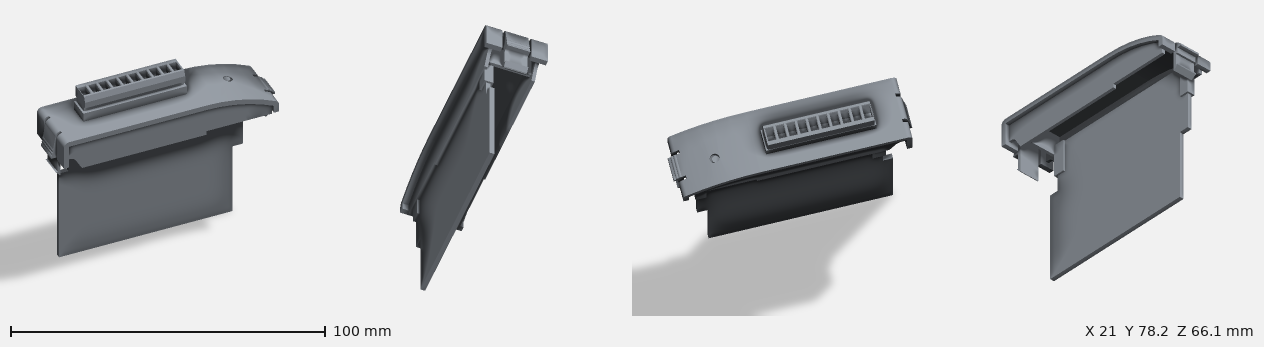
import cadquery as cq
import math


CAP_HALF_WIDTH = 21.0 / 2
CAP_THICKNESS = 1.8
CAP_BACK = 37.55
CAP_FRONT = -37.55
CAP_RIM_Z = -9.9
BEND_START_Y = 12.2
BEND_RADIUS = 55.55
CAP_FILLET = 1.8
INNER_BACK = CAP_BACK - CAP_THICKNESS
INNER_FRONT = CAP_FRONT + CAP_THICKNESS

LATCH_HALF_WIDTH = 3.9
SLOT_WIDTH = 1.1
FRONT_SLOT_DEPTH = CAP_THICKNESS
BACK_SLOT_DEPTH = 2.4
LEG_THICKNESS = 1.0
FRONT_LEG_FILLET = 0.7
FRONT_BARB_TOP_Z = -15.7
FRONT_BARB_TIP_Y = -37.5
FRONT_LEG_BOTTOM_Z = -17.4
FRONT_BARB_BEVEL_END = (-36.15, -17.2)
BACK_BARB_TOP_Z = -14.3
BACK_BARB_TIP_Y = 37.9
BACK_BARB_BEVEL_START = (37.7, -14.6)
BACK_LEG_BOTTOM_Z = -15.95
BACK_GRIP_ROOT_Y = 36.45
BACK_GRIP_BOTTOM_Z = -7.8
LATCH_REACH = 39.1

WALL_THICKNESS = 1.2
LEFT_WALL_X = -8.4
RIGHT_WALL_X = 7.7
WALL_BOTTOM_Z = -12.8
WALL_BACK_BOTTOM_Z = -11.4
WALL_STEP_Y = 12.9
WALL_FRONT_Y = -30.5
RELIEF_TOP_Z = -8.05
RELIEF_ARC_LOW = (-32.6, -9.3)
RELIEF_ARC_MIDDLE = (-33.5, -8.45)
RELIEF_ARC_TOP_Y = -34.7

BOARD_X = LEFT_WALL_X + WALL_THICKNESS
BOARD_THICKNESS = 1.65
BOARD_TOP_Z = -6.25
BOARD_BOTTOM_Z = -57.2
BOARD_UPPER_Y = (-28.7, 32.2)
BOARD_LOWER_Y = (-32.0, 28.5)
BOARD_BACK_STEP_Z = -31.7
BOARD_FRONT_STEP_Z = -24.2
GUIDE_OVERHANG = 0.7
GUIDE_WIDTH = BOARD_THICKNESS + 2 * GUIDE_OVERHANG
GUIDE_X = BOARD_X - GUIDE_OVERHANG
GUIDE_BOTTOM_Z = -18.3
BACK_GUIDE_Y = (29.3, BOARD_UPPER_Y[1] + GUIDE_OVERHANG)
FRONT_GUIDE_Y = (BOARD_UPPER_Y[0] - GUIDE_OVERHANG, -25.1)

LAMP_RECESS_DIAMETER = 3.1
LAMP_RECESS_CENTRE = (-1.8, 25.2)
LAMP_RECESS_FLOOR_Z = -2.5
LAMP_DIAMETER = 2.4
LAMP_CENTRE = (-2.1, 24.9)
LAMP_TOP_Z = -1.7

HEADER_X = (-5.0, 2.3)
HEADER_Y = (-27.1, 9.1)
HEADER_TOP_Z = 3.1

PLUG_X = (-5.5, 2.0)
PLUG_Y = (-26.4, 8.6)
NECK_X = (-4.5, 1.1)
PLUG_SHOULDER_Z = 4.85
PLUG_TOP_Z = 8.9
PLUG_CHAMFER_WIDTH = 0.8
PLUG_CHAMFER_HEIGHT = 1.9

POCKET_COUNT = 10
POCKET_PITCH = 3.5
FIRST_POCKET_Y = PLUG_Y[0] + 1.6
POCKET_LENGTH = 2.5
POCKET_FLOOR_Z = 5.95
POCKET_LEFT_X = -4.1
POCKET_FLOOR_RIGHT_X = -1.6
POCKET_RIGHT_X = 0.2
LEAD_IN_WIDTH = 0.2
LEAD_IN_DEPTH = 0.2


def bend_z(y, radius):
    """Height of a curve of this radius around the bend's axis."""
    return -BEND_RADIUS + math.sqrt(radius**2 - (y - BEND_START_Y) ** 2)


def bend_point(y, radius):
    return (y, bend_z(y, radius))


def across(outline, x_min, x_max):
    """Extrude a closed outline drawn in Y and Z from x_min to x_max."""
    return outline.extrude(x_max - x_min).translate((x_min, 0, 0))


def block(x_range, y_range, z_range):
    size = [high - low for low, high in (x_range, y_range, z_range)]
    return cq.Workplane("XY").box(*size, centered=False).translate((x_range[0], y_range[0], z_range[0]))


def along_bend(sketch, y_end, radius):
    """Continue a sketch from the flat along the bend to y_end."""
    middle_y = (BEND_START_Y + y_end) / 2
    return sketch.threePointArc(bend_point(middle_y, radius), bend_point(y_end, radius))


def make_cap():
    outer = cq.Workplane("YZ").moveTo(CAP_FRONT, CAP_RIM_Z).lineTo(CAP_FRONT, 0).lineTo(BEND_START_Y, 0)
    outer = along_bend(outer, CAP_BACK, BEND_RADIUS).lineTo(CAP_BACK, CAP_RIM_Z).close()
    cap = across(outer, -CAP_HALF_WIDTH, CAP_HALF_WIDTH)
    for y, z in ((CAP_FRONT, 0), bend_point(CAP_BACK, BEND_RADIUS)):
        cap = cap.edges(cq.selectors.NearestToPointSelector((0, y, z))).fillet(CAP_FILLET)

    inner_radius = BEND_RADIUS - CAP_THICKNESS
    inner = cq.Workplane("YZ").moveTo(INNER_FRONT, CAP_RIM_Z).lineTo(INNER_FRONT, -CAP_THICKNESS)
    inner = along_bend(inner.lineTo(BEND_START_Y, -CAP_THICKNESS), INNER_BACK, inner_radius)
    inner = inner.lineTo(INNER_BACK, CAP_RIM_Z).close()
    return cap.cut(across(inner, -CAP_HALF_WIDTH, CAP_HALF_WIDTH))


def cut_latch_slots(cap):
    slot_z = (CAP_RIM_Z, 0)
    for slot_x in (-LATCH_HALF_WIDTH - SLOT_WIDTH, LATCH_HALF_WIDTH):
        x_range = (slot_x, slot_x + SLOT_WIDTH)
        cap = cap.cut(block(x_range, (CAP_FRONT, CAP_FRONT + FRONT_SLOT_DEPTH), slot_z))
        cap = cap.cut(block(x_range, (CAP_BACK - BACK_SLOT_DEPTH, CAP_BACK), slot_z))
    return cap


def make_front_latch():
    """A sloped grip that ends in three rounded ridges, and a leg with an outward barb."""
    grip_top_z = -CAP_FILLET
    grip = (
        cq.Workplane("YZ").moveTo(CAP_FRONT, grip_top_z)
        .lineTo(-38.4, -6.4)
        .threePointArc((-38.65, -7.05), (-38.6, -7.5)).lineTo(-38.5, -7.75)
        .threePointArc((-38.8, -8.1), (-38.7, -8.5)).lineTo(-38.65, -8.8)
        .threePointArc((-38.95, -9.15), (-LATCH_REACH, CAP_RIM_Z)).lineTo(INNER_FRONT, CAP_RIM_Z)
        .lineTo(INNER_FRONT, grip_top_z).close()
    )
    leg_y = INNER_FRONT - LEG_THICKNESS
    leg = (
        cq.Workplane("YZ").moveTo(INNER_FRONT, CAP_RIM_Z).lineTo(leg_y - FRONT_LEG_FILLET, CAP_RIM_Z)
        .radiusArc((leg_y, CAP_RIM_Z - FRONT_LEG_FILLET), FRONT_LEG_FILLET)
        .lineTo(leg_y, FRONT_BARB_TOP_Z).lineTo(FRONT_BARB_TIP_Y, FRONT_BARB_TOP_Z)
        .lineTo(*FRONT_BARB_BEVEL_END).lineTo(INNER_FRONT, FRONT_LEG_BOTTOM_Z).close()
    )
    return [across(shape, -LATCH_HALF_WIDTH, LATCH_HALF_WIDTH) for shape in (grip, leg)]


def make_back_latch():
    """A grip of three rounded ridges stepping down the cap's back, and a leg with an outward barb."""
    grip = (
        cq.Workplane("YZ").moveTo(*bend_point(BACK_GRIP_ROOT_Y, BEND_RADIUS))
        .threePointArc((37.0, -5.55), (37.4, -6.0)).lineTo(37.7, -6.1)
        .threePointArc((38.1, -6.25), (38.25, -6.8)).lineTo(38.7, -6.9)
        .threePointArc((39.0, -7.05), (LATCH_REACH, -7.3))
        .lineTo(LATCH_REACH, BACK_GRIP_BOTTOM_Z).lineTo(BACK_GRIP_ROOT_Y, BACK_GRIP_BOTTOM_Z).close()
    )
    leg_y = INNER_BACK + LEG_THICKNESS
    leg = (
        cq.Workplane("YZ").moveTo(INNER_BACK, CAP_RIM_Z).lineTo(leg_y, CAP_RIM_Z)
        .lineTo(leg_y, BACK_BARB_TOP_Z).lineTo(BACK_BARB_TIP_Y, BACK_BARB_TOP_Z)
        .lineTo(*BACK_BARB_BEVEL_START)
        .lineTo(INNER_BACK, BACK_LEG_BOTTOM_Z).close()
    )
    return [across(shape, -LATCH_HALF_WIDTH, LATCH_HALF_WIDTH) for shape in (grip, leg)]


def make_side_wall(x):
    outline = cq.Workplane("YZ").moveTo(INNER_FRONT, RELIEF_TOP_Z).lineTo(INNER_FRONT, -CAP_THICKNESS)
    outline = outline.lineTo(BEND_START_Y, -CAP_THICKNESS)
    outline = along_bend(outline, INNER_BACK, BEND_RADIUS - CAP_THICKNESS)
    outline = (
        outline.lineTo(INNER_BACK, WALL_BACK_BOTTOM_Z).lineTo(WALL_STEP_Y, WALL_BACK_BOTTOM_Z)
        .lineTo(WALL_STEP_Y, WALL_BOTTOM_Z).lineTo(WALL_FRONT_Y, WALL_BOTTOM_Z)
        .lineTo(*RELIEF_ARC_LOW).threePointArc(RELIEF_ARC_MIDDLE, (RELIEF_ARC_TOP_Y, RELIEF_TOP_Z)).close()
    )
    return across(outline, x, x + WALL_THICKNESS)


def make_cross_wall():
    return block(
        (LEFT_WALL_X, RIGHT_WALL_X + WALL_THICKNESS),
        (WALL_FRONT_Y, WALL_FRONT_Y + WALL_THICKNESS),
        (CAP_RIM_Z, -CAP_THICKNESS),
    )


def make_board():
    upper_front, upper_back = BOARD_UPPER_Y
    lower_front, lower_back = BOARD_LOWER_Y
    outline = cq.Workplane("YZ").polyline([
        (upper_back, BOARD_TOP_Z), (upper_back, BOARD_BACK_STEP_Z),
        (lower_back, BOARD_BACK_STEP_Z), (lower_back, BOARD_BOTTOM_Z),
        (lower_front, BOARD_BOTTOM_Z), (lower_front, BOARD_FRONT_STEP_Z),
        (upper_front, BOARD_FRONT_STEP_Z), (upper_front, BOARD_TOP_Z),
    ]).close()
    return across(outline, BOARD_X, BOARD_X + BOARD_THICKNESS)


def make_board_guide(y_range):
    return block((GUIDE_X, GUIDE_X + GUIDE_WIDTH), y_range, (GUIDE_BOTTOM_Z, BOARD_TOP_Z))


def upright_disc(centre, diameter, z_min, z_max):
    return cq.Workplane("XY", origin=(*centre, z_min)).circle(diameter / 2).extrude(z_max - z_min)


def make_housing():
    housing = cut_latch_slots(make_cap())
    housing = housing.cut(
        upright_disc(LAMP_RECESS_CENTRE, LAMP_RECESS_DIAMETER, LAMP_RECESS_FLOOR_Z, 0)
    )
    additions = [
        upright_disc(LAMP_CENTRE, LAMP_DIAMETER, LAMP_RECESS_FLOOR_Z, LAMP_TOP_Z),
        *make_front_latch(),
        *make_back_latch(),
        make_side_wall(LEFT_WALL_X),
        make_side_wall(RIGHT_WALL_X),
        make_cross_wall(),
        make_board_guide(BACK_GUIDE_Y),
        make_board_guide(FRONT_GUIDE_Y),
        make_board(),
        block(HEADER_X, HEADER_Y, (0, HEADER_TOP_Z)),
    ]
    for addition in additions:
        housing = housing.union(addition)
    return housing


def make_wire_pocket(y):
    """A pit with one sloped side, widened by a shallow lead-in at the plug's top."""
    lead_in_z = PLUG_TOP_Z - LEAD_IN_DEPTH
    pit = (
        cq.Workplane("XZ").polyline([
            (POCKET_LEFT_X, PLUG_TOP_Z), (POCKET_LEFT_X, POCKET_FLOOR_Z),
            (POCKET_FLOOR_RIGHT_X, POCKET_FLOOR_Z), (POCKET_RIGHT_X, lead_in_z),
            (POCKET_RIGHT_X, PLUG_TOP_Z),
        ]).close().extrude(POCKET_LENGTH / 2, both=True).translate((0, y, 0))
    )
    width = POCKET_RIGHT_X - POCKET_LEFT_X
    lead_in = (
        cq.Workplane("XY", origin=((POCKET_LEFT_X + POCKET_RIGHT_X) / 2, y, lead_in_z))
        .rect(width, POCKET_LENGTH)
        .workplane(offset=LEAD_IN_DEPTH)
        .rect(width + 2 * LEAD_IN_WIDTH, POCKET_LENGTH + 2 * LEAD_IN_WIDTH)
        .loft()
    )
    return pit.union(lead_in)


def make_terminal_plug():
    section = cq.Workplane("XZ").polyline([
        (NECK_X[0], HEADER_TOP_Z), (NECK_X[0], PLUG_SHOULDER_Z), (PLUG_X[0], PLUG_SHOULDER_Z),
        (PLUG_X[0], PLUG_TOP_Z), (PLUG_X[1] - PLUG_CHAMFER_WIDTH, PLUG_TOP_Z),
        (PLUG_X[1], PLUG_TOP_Z - PLUG_CHAMFER_HEIGHT), (PLUG_X[1], PLUG_SHOULDER_Z),
        (NECK_X[1], PLUG_SHOULDER_Z), (NECK_X[1], HEADER_TOP_Z),
    ]).close()
    plug = section.extrude(PLUG_Y[0] - PLUG_Y[1]).translate((0, PLUG_Y[0], 0))
    for index in range(POCKET_COUNT):
        plug = plug.cut(make_wire_pocket(FIRST_POCKET_Y + index * POCKET_PITCH))
    return plug


housing = make_housing()
terminal_plug = make_terminal_plug()

result = cq.Compound.makeCompound([housing.val(), terminal_plug.val()])